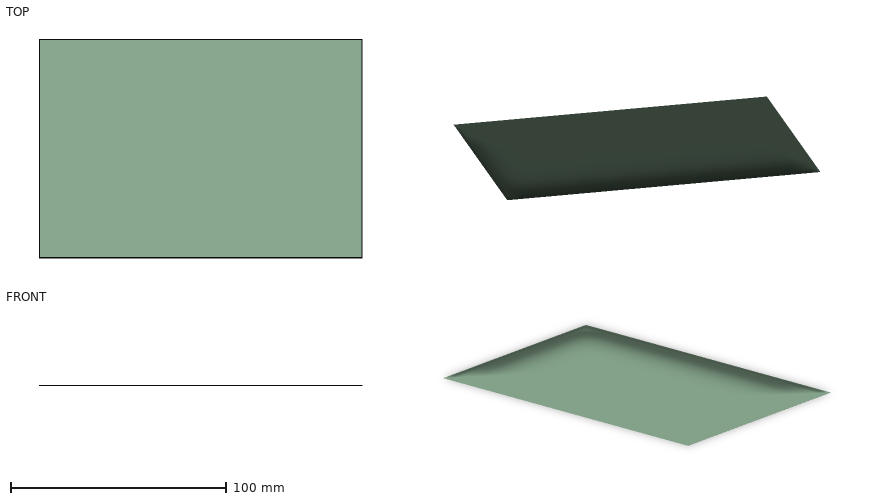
import cadquery as cq

length = 150.0
width = 101.5
thickness = 0.05

result = cq.Workplane("XY").box(length, width, thickness)